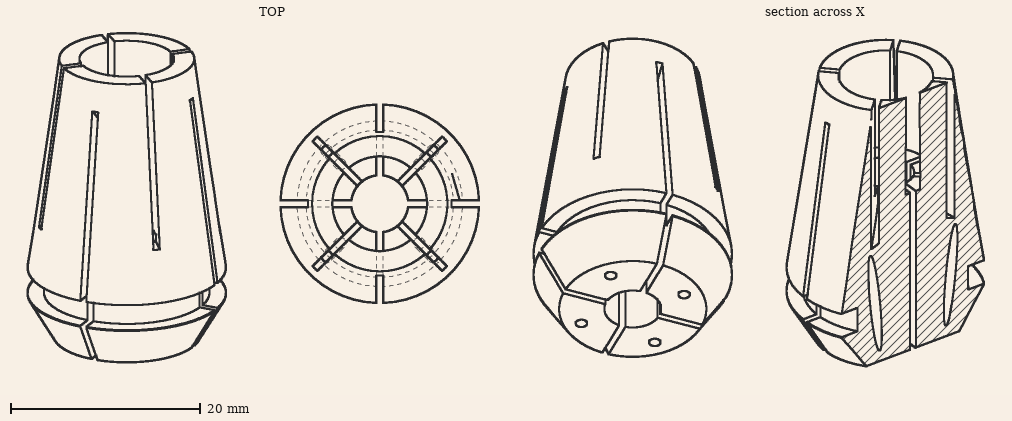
import math

import cadquery as cq

length = 31.5
max_radius = 10.5
nut_cone_angle = 30.0
clamp_cone_angle = 8.0
groove_bottom = 4.8
groove_top = 7.65
groove_radius = 8.75
rim_height = 0.1

grip_radius = 3.0
relief_radius = 5.0
relief_depth = 12.0

slot_width = 0.7
saw_radius = 16.7
slots_per_end = 4
slot_pitch = 360.0 / slots_per_end
nut_slot_offset = 18.3
nut_slot_stop = 15.4
rear_slot_offset = 14.4
rear_slot_stop = 29.45

jet_diameter = 1.2
jet_radius = 7.88
jet_angle = 8.0


def make_body():
    """Double-cone body with a nut groove and a stepped bore."""
    nut_cone_height = groove_bottom - rim_height
    nut_face_radius = max_radius - nut_cone_height * math.tan(math.radians(nut_cone_angle))
    rear_face_radius = max_radius - (length - groove_top) * math.tan(math.radians(clamp_cone_angle))
    step_height = length - relief_depth
    return (
        cq.Workplane("XZ")
        .moveTo(grip_radius, 0)
        .lineTo(nut_face_radius, 0)
        .lineTo(max_radius, nut_cone_height)
        .lineTo(max_radius, groove_bottom)
        .lineTo(groove_radius, groove_bottom)
        .lineTo(groove_radius, groove_top)
        .lineTo(max_radius, groove_top)
        .lineTo(rear_face_radius, length)
        .lineTo(relief_radius, length)
        .lineTo(relief_radius, step_height)
        .lineTo(grip_radius, step_height)
        .close()
        .revolve(360, (0, 0, 0), (0, 1, 0))
        .rotate((0, 0, 0), (0, 0, 1), slot_pitch / 4)
    )


def saw_slot(offset, start, stop, angle):
    """Radial slot left by a saw disc that travels along Z from start to stop."""
    disc = (
        cq.Workplane("XZ")
        .center(offset, stop)
        .circle(saw_radius)
        .extrude(slot_width / 2, both=True)
    )
    travel = (
        cq.Workplane("XZ")
        .center(offset, (start + stop) / 2)
        .rect(2 * saw_radius, abs(stop - start))
        .extrude(slot_width / 2, both=True)
    )
    return disc.union(travel).rotate((0, 0, 0), (0, 0, 1), angle)


def jet_hole(angle):
    """Inclined hole from a rear slot floor out through the nut-end face."""
    saw_reach = jet_radius - rear_slot_offset
    floor_height = rear_slot_stop - math.sqrt(saw_radius**2 - saw_reach**2)
    lean = math.radians(jet_angle)
    direction = cq.Vector(-math.sin(lean), 0, -math.cos(lean))
    overshoot = jet_diameter / 2
    start = cq.Vector(jet_radius, 0, floor_height) - direction * overshoot
    depth = floor_height / math.cos(lean) + 2 * overshoot
    hole = cq.Solid.makeCylinder(jet_diameter / 2, depth, start, direction)
    return cq.Workplane(obj=hole).rotate((0, 0, 0), (0, 0, 1), angle)


result = make_body()
below_part = -length
above_part = 2 * length
for index in range(slots_per_end):
    nut_angle = index * slot_pitch
    rear_angle = nut_angle + slot_pitch / 2
    result = result.cut(saw_slot(nut_slot_offset, below_part, nut_slot_stop, nut_angle))
    result = result.cut(saw_slot(rear_slot_offset, above_part, rear_slot_stop, rear_angle))
    result = result.cut(jet_hole(rear_angle))